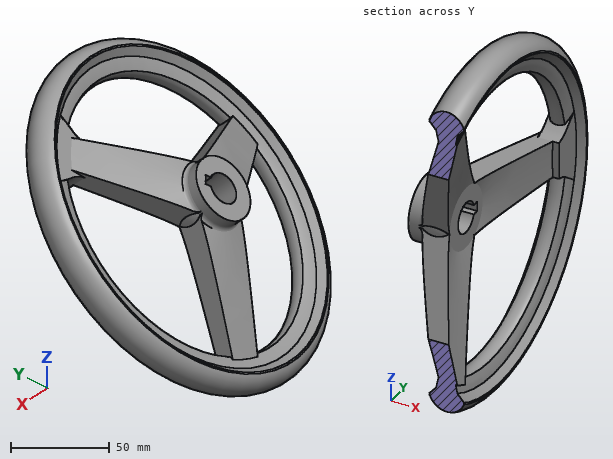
import cadquery as cq
import math


hub_radius = 18.5
hub_belly_radius = 19.6
hub_straight = 5.8
hub_back = 23.6
bore_radius = 8.8
key_reach = 12.0
key_width = 5.6

collar_radius = 21.6
collar_end = 9.5

wheel_radius = 100.0
rim_width = 20.0
rim_back = 44.5
rim_middle = rim_back - rim_width / 2
lip_outer_radius = 93.2
lip_inner_radius = 92.2
groove_radius = 88.2
groove_depth = 3.8
bead_flank_radius = 84.5
bead_flank_half = 5.5
bead_shoulder_radius = 80.8
bead_shoulder_half = 4.2
rim_inner_radius = 79.6

spoke_count = 3
spoke_root = 18.0
spoke_tip = 84.0
spoke_slope = 0.33
root_front = collar_end - spoke_slope * (collar_radius - spoke_root)
tip_front = root_front + spoke_slope * (spoke_tip - spoke_root)
tip_thickness = 10.6
root_half_width = 15.0
tip_half_width = 9.6

pad_half_thickness = rim_width / 2 - groove_depth
pad_start = 69.2
pad_start_half_width = 10.8
pad_middle = 74.2
pad_middle_half_width = 12.5
pad_bend = 78.8
pad_bend_half_width = 15.6
pad_end_half_width = 22.5


def revolve_about_x(profile):
    return profile.close().revolve(360, (0, 0, 0), (1, 0, 0))


def make_hub():
    body = (
        cq.Workplane("XY")
        .lineTo(0, hub_radius)
        .lineTo(root_front, hub_radius)
        .threePointArc(((root_front + hub_back) / 2, hub_belly_radius), (hub_back, spoke_root))
        .lineTo(hub_back, 0)
    )
    return revolve_about_x(body)


def make_collar():
    """Concave ring around the hub, later trimmed to the width of the spokes."""
    length = collar_end - hub_straight
    rise = collar_radius - hub_radius
    bend = math.sqrt(0.5)
    ring = (
        cq.Workplane("XY")
        .moveTo(hub_straight, 0)
        .lineTo(hub_straight, hub_radius)
        .threePointArc(
            (hub_straight + length * bend, hub_radius + rise * (1 - bend)),
            (collar_end, collar_radius),
        )
        .lineTo(collar_end, 0)
    )
    return revolve_about_x(ring)


def make_rim():
    half = rim_width / 2
    floor = half - groove_depth
    front = rim_middle - half
    bead_front = (rim_middle - bead_shoulder_half, bead_shoulder_radius)
    bead_back = (rim_middle + bead_shoulder_half, bead_shoulder_radius)
    section = (
        cq.Workplane("XY")
        .moveTo(front, lip_outer_radius)
        .threePointArc((rim_middle, wheel_radius), (rim_back, lip_outer_radius))
        .lineTo(rim_back, lip_inner_radius)
        .lineTo(rim_middle + floor, groove_radius)
        .threePointArc((rim_middle + bead_flank_half, bead_flank_radius), bead_back)
        .threePointArc((rim_middle, rim_inner_radius), bead_front)
        .threePointArc(
            (rim_middle - bead_flank_half, bead_flank_radius),
            (rim_middle - floor, groove_radius),
        )
        .lineTo(front, lip_inner_radius)
    )
    return revolve_about_x(section)


def make_spoke_plan():
    """Tapered bar along +Y, as thick as the whole wheel."""
    taper = (root_half_width - tip_half_width) / (spoke_tip - spoke_root)
    axis_half_width = root_half_width + taper * spoke_root
    return (
        cq.Workplane("YZ")
        .polyline([
            (0, -axis_half_width),
            (spoke_tip, -tip_half_width),
            (spoke_tip, tip_half_width),
            (0, axis_half_width),
        ])
        .close()
        .extrude(rim_back)
    )


def make_spoke_dish():
    """Conical dish whose two faces bound the spokes."""
    section = cq.Workplane("XY").polyline([
        (root_front, 0),
        (root_front, spoke_root),
        (tip_front, spoke_tip),
        (tip_front + tip_thickness, spoke_tip),
        (hub_back, spoke_root),
        (hub_back, 0),
    ])
    return revolve_about_x(section)


def make_pad():
    plan = (
        cq.Workplane("YZ", origin=(rim_middle - pad_half_thickness, 0, 0))
        .moveTo(pad_start, -pad_start_half_width)
        .threePointArc((pad_middle, -pad_middle_half_width), (pad_bend, -pad_bend_half_width))
        .lineTo(groove_radius, -pad_end_half_width)
        .lineTo(groove_radius, pad_end_half_width)
        .lineTo(pad_bend, pad_bend_half_width)
        .threePointArc((pad_middle, pad_middle_half_width), (pad_start, pad_start_half_width))
        .close()
        .extrude(2 * pad_half_thickness)
    )
    inside_groove = cq.Workplane("YZ").circle(groove_radius).extrude(rim_back)
    return plan.intersect(inside_groove)


def make_bore():
    bore = cq.Workplane("YZ").circle(bore_radius).extrude(hub_back)
    keyway = cq.Workplane("XY").box(hub_back, key_reach, key_width, centered=(False, False, True))
    return bore.union(keyway)


spoke = make_spoke_dish().union(make_collar()).intersect(make_spoke_plan())

result = make_rim().union(make_hub())
for index in range(spoke_count):
    angle = index * 360 / spoke_count
    result = result.union(spoke.rotate((0, 0, 0), (1, 0, 0), angle))
result = result.union(make_pad()).cut(make_bore())